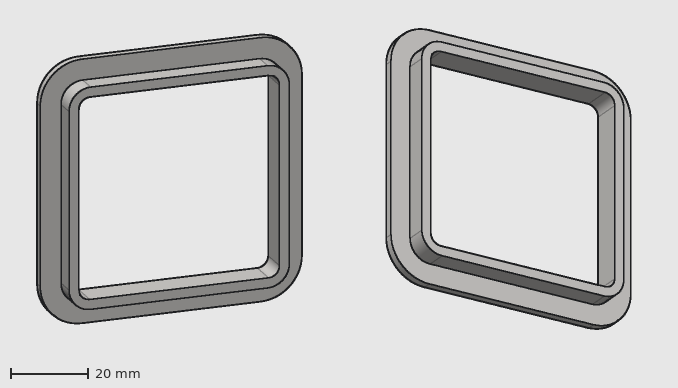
import cadquery as cq

flange_size = 72.5
flange_thickness = 2.5
flange_overhang = 5.75
collar_length = 6.0
collar_wall = 2.75

flange_corner_radius = 11.5
collar_corner_radius = 6.0
opening_corner_radius = 3.0

collar_size = flange_size - 2 * flange_overhang
opening_size = collar_size - 2 * collar_wall
total_depth = flange_thickness + collar_length


def rounded_square_block(size, corner_radius, depth):
    """Square block centred on the X axis, from X = 0 to depth, with its four X edges rounded."""
    block = cq.Workplane("YZ").rect(size, size).extrude(depth)
    return block.edges("|X").fillet(corner_radius)


flange = rounded_square_block(flange_size, flange_corner_radius, flange_thickness)
collar = rounded_square_block(collar_size, collar_corner_radius, total_depth)
opening = rounded_square_block(opening_size, opening_corner_radius, total_depth)

result = flange.union(collar).cut(opening)